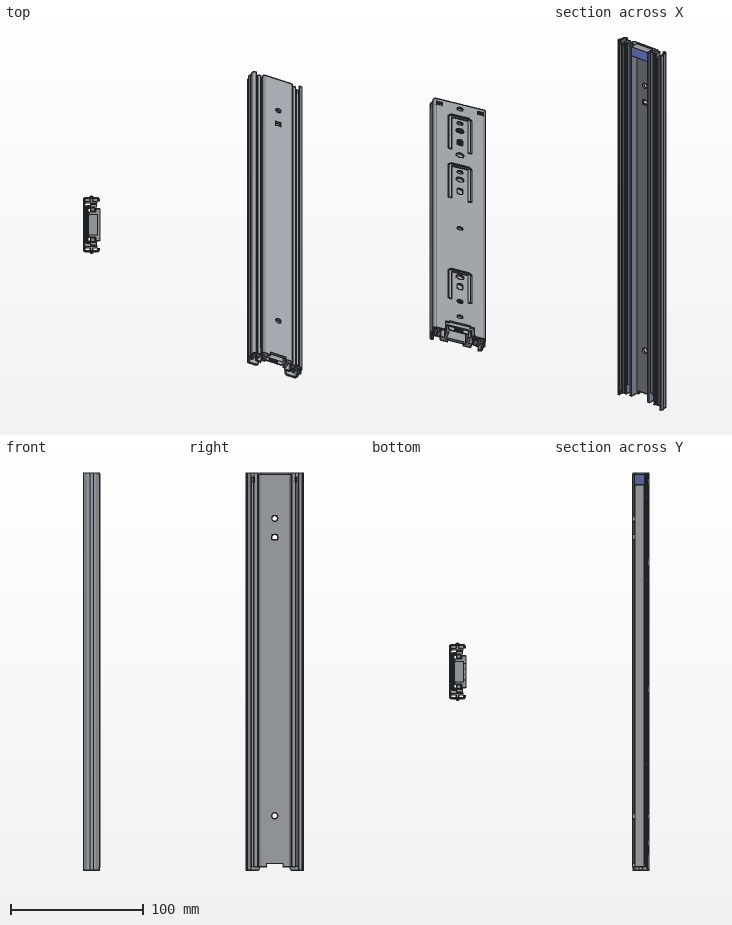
import cadquery as cq

LENGTH = 300.0
DEPTH = 12.7
WIDTH = 43.18
BACK = -DEPTH / 2
FRONT = DEPTH / 2
CUT = 2 * DEPTH

OUTER_SHEET = 1.2
RIDGE_HEIGHT = 0.9
RIDGE_BACK = -1.5
RIDGE_FRONT = 1.2
FLANGE_Y = WIDTH / 2 - RIDGE_HEIGHT
LIP_FRONT = 5.7
LIP_Y = 17.8
OUTER_BEND = 2.0
LIP_BEND = 1.9

PAD_DEPTH = 0.7
PAD_WIDTH = 19.0
PAD_FLOOR_WIDTH = 16.8
PAD_CENTRE_WIDTH = 12.8
PAD_TOP_GROOVE = 3.5
PAD_CORNER = 2.6
PAD_LENGTH = 45.3
HOLE_PITCH = 64.0
TOP_PAD_Z = 284.3
LOW_PAD_Z = 81.8
LOW_PAD_LENGTH = 39.2
PADS = [
    (TOP_PAD_Z, PAD_LENGTH),
    (TOP_PAD_Z - HOLE_PITCH, PAD_LENGTH),
    (LOW_PAD_Z, LOW_PAD_LENGTH),
]

SMALL_HOLE = 4.5
LARGE_HOLE = 6.0
SLOT_LENGTH = 8.0
FIRST_LARGE_Z = 265.0
FIRST_SLOT_Z = 249.6
UPPER_SMALL_Z = 274.7
LOWER_HOLE_Z = 41.3
SMALL_HOLES = [293.5, UPPER_SMALL_Z, UPPER_SMALL_Z - HOLE_PITCH, 137.0, LOWER_HOLE_Z, 21.0]
LARGE_HOLES = [
    FIRST_LARGE_Z,
    FIRST_LARGE_Z - HOLE_PITCH / 2,
    FIRST_LARGE_Z - HOLE_PITCH,
    FIRST_LARGE_Z - 3 * HOLE_PITCH,
]
SLOTS = [FIRST_SLOT_Z, FIRST_SLOT_Z - HOLE_PITCH, 60.6]
WINDOW_Y = 16.3
WINDOW_Z = 294.6
WINDOW_WIDTH = 4.5
WINDOW_HEIGHT = 3.6
END_CUT_WIDTH = 22.8
END_CUT_HEIGHT = 10.9
END_CUT_CHAMFER = 1.2
END_CUT_STEP_WIDTH = 16.4
END_CUT_STEP_TOP = 12.4

ACCESS_HOLE = 4.2
ACCESS_HOLE_Z = FIRST_LARGE_Z + 0.7
PASSAGE_TOP = FIRST_SLOT_Z + SLOT_LENGTH / 2

SLIDE_BOTTOM = 2.7
MIDDLE_SHEET = 1.0
MIDDLE_BACK = -4.4
MIDDLE_Y = 14.6
MIDDLE_BEND = 1.5
RACE_BACK = -0.9
RACE_FRONT = 3.6
RACE_INNER_Y = 13.2
RACE_OUTER_Y = 15.6
MIDDLE_NOTCH_WIDTH = 19.6
MIDDLE_NOTCH_TOP = 9.4

INNER_TOP = LENGTH - 1.0
INNER_SHEET = 1.9
INNER_OPENING = 15.4
INNER_FLANGE_Y = INNER_OPENING / 2 + INNER_SHEET
INNER_FLANGE_BACK = -2.3
SHOULDER_Y = 12.2
SHOULDER_BACK = 2.9
INNER_BEND = 1.2
INNER_NOTCH_WIDTH = 12.4
INNER_NOTCH_TOP = 5.2

RETAINER_BOTTOM = 5.3
INNER_CAGE_SHEET = 0.5
INNER_CAGE_BACK = -3.2
INNER_CAGE_Y = 12.9
INNER_CAGE_LUMP_Y = 10.0
INNER_CAGE_LUMP_BACK = -0.8
INNER_CAGE_FRONT = 2.2
TONGUE_WIDTH = 16.2
TONGUE_CHAMFER = 1.5
TONGUE_WINDOW_WIDTH = 6.6
TONGUE_WINDOW_BOTTOM = 6.6
TONGUE_WINDOW_TOP = 8.6
OUTER_CAGE_BACK = -4.4
OUTER_CAGE_FRONT = 4.0
OUTER_CAGE_Y = 16.2
OUTER_CAGE_SHEET = 1.5
OUTER_CAGE_TOP_Y = 19.8
OUTER_CAGE_LUMP_BACK = -1.2
OUTER_CAGE_LUMP_FRONT = 0.9
OUTER_CAGE_ENDS = 3.0

BLOCK_HEIGHT = 8.0
BLOCK_BACK = -2.6
BLOCK_CHAMFER = 0.6


def extrude_symmetric(half, bottom, top):
    """Extrude the +Y half of an outline, closed across Y = 0 by its mirror image."""
    mirrored = [(x, -y) for x, y in reversed(half)]
    return cq.Workplane("XY", origin=(0, 0, bottom)).polyline(half + mirrored).close().extrude(top - bottom)


def box(x_range, y_range, z_range):
    """Block spanning the given (low, high) ranges."""
    size = [high - low for low, high in (x_range, y_range, z_range)]
    corner = [low for low, high in (x_range, y_range, z_range)]
    return cq.Workplane("XY").box(*size, centered=False).translate(tuple(corner))


def round_edges(body, radius, places):
    """Round the upright edges that pass through the given (x, |y|) places."""
    for x, y in places:
        for side in (-1, 1):
            near = cq.selectors.BoxSelector(
                (x - 0.05, side * y - 0.05, -CUT),
                (x + 0.05, side * y + 0.05, LENGTH + CUT),
            )
            body = body.edges("|Z").edges(near).fillet(radius)
    return body


def cutter_along_x(heights, make_outline):
    """One cutter per height, running through the whole depth in X."""
    points = [(0, z) for z in heights]
    plane = cq.Workplane("YZ", origin=(-CUT / 2, 0, 0)).pushPoints(points)
    return make_outline(plane).extrude(CUT)


def end_notch(width, top):
    return box((-CUT, CUT), (-width / 2, width / 2), (-1, top))


def pad_groove(top, length, back):
    """U-shaped groove with sloping outer walls, around a pad centre left level with the web."""
    bottom = top - length

    def outline(plane, half, corner):
        return (
            plane.moveTo(-half, bottom)
            .lineTo(-half, top - corner)
            .lineTo(-half + corner, top)
            .lineTo(half - corner, top)
            .lineTo(half, top - corner)
            .lineTo(half, bottom)
            .close()
        )

    slope = (PAD_WIDTH - PAD_FLOOR_WIDTH) / 2
    rim = outline(cq.Workplane("YZ", origin=(back, 0, 0)), PAD_WIDTH / 2, PAD_CORNER)
    floor = outline(rim.workplane(offset=PAD_DEPTH), PAD_FLOOR_WIDTH / 2, PAD_CORNER - slope)
    half_centre = PAD_CENTRE_WIDTH / 2
    centre = box(
        (back, back + PAD_DEPTH),
        (-half_centre, half_centre),
        (bottom, top - PAD_TOP_GROOVE),
    )
    return floor.loft(ruled=True).cut(centre)


def ridge(base_y, side):
    """Full-length round ridge standing on a flange face."""
    middle = ((RIDGE_BACK + RIDGE_FRONT) / 2, side * (base_y + RIDGE_HEIGHT))
    return (
        cq.Workplane("XY")
        .moveTo(RIDGE_BACK, side * base_y)
        .threePointArc(middle, (RIDGE_FRONT, side * base_y))
        .close()
        .extrude(LENGTH)
    )


def make_outer_member():
    inner_y = FLANGE_Y - OUTER_SHEET
    half = [
        (BACK, FLANGE_Y),
        (LIP_FRONT, FLANGE_Y),
        (LIP_FRONT, LIP_Y),
        (LIP_FRONT - OUTER_SHEET, LIP_Y),
        (LIP_FRONT - OUTER_SHEET, inner_y),
        (BACK + OUTER_SHEET, inner_y),
    ]
    body = extrude_symmetric(half, 0, LENGTH)
    body = round_edges(body, OUTER_BEND, [(BACK, FLANGE_Y)])
    body = round_edges(body, LIP_BEND, [(LIP_FRONT, FLANGE_Y)])
    body = round_edges(body, OUTER_BEND - OUTER_SHEET, [(BACK + OUTER_SHEET, inner_y)])
    body = round_edges(body, LIP_BEND - OUTER_SHEET, [(LIP_FRONT - OUTER_SHEET, inner_y)])

    for side in (-1, 1):
        body = body.union(ridge(FLANGE_Y, side))
        body = body.cut(ridge(inner_y, side))
    for top, length in PADS:
        body = body.union(pad_groove(top, length, BACK + OUTER_SHEET))
        body = body.cut(pad_groove(top, length, BACK))

    body = body.cut(cutter_along_x(SMALL_HOLES, lambda plane: plane.circle(SMALL_HOLE / 2)))
    body = body.cut(cutter_along_x(LARGE_HOLES, lambda plane: plane.circle(LARGE_HOLE / 2)))
    body = body.cut(cutter_along_x(SLOTS, lambda plane: plane.slot2D(SLOT_LENGTH, SMALL_HOLE, 90)))
    for side in (-1, 1):
        window = cq.Workplane("XY").box(2 * OUTER_SHEET, WINDOW_WIDTH, WINDOW_HEIGHT)
        body = body.cut(window.translate((BACK, side * WINDOW_Y, WINDOW_Z)))

    half_cut = END_CUT_WIDTH / 2
    end_cut = (
        cq.Workplane("YZ", origin=(-CUT / 2, 0, 0))
        .moveTo(-half_cut - END_CUT_CHAMFER, 0)
        .lineTo(-half_cut, END_CUT_CHAMFER)
        .lineTo(-half_cut, END_CUT_HEIGHT)
        .lineTo(half_cut, END_CUT_HEIGHT)
        .lineTo(half_cut, END_CUT_CHAMFER)
        .lineTo(half_cut + END_CUT_CHAMFER, 0)
        .close()
        .extrude(CUT)
    )
    return body.cut(end_cut).cut(end_notch(END_CUT_STEP_WIDTH, END_CUT_STEP_TOP))


def cut_passages(body):
    """Screw access holes and the passage behind the upper half of the first slot."""
    body = body.cut(cutter_along_x([ACCESS_HOLE_Z], lambda plane: plane.circle(ACCESS_HOLE / 2)))
    body = body.cut(cutter_along_x([LOWER_HOLE_Z], lambda plane: plane.circle(SMALL_HOLE / 2)))
    half = SMALL_HOLE / 2
    return body.cut(box((-CUT, CUT), (-half, half), (FIRST_SLOT_Z, PASSAGE_TOP)))


def make_middle_member():
    inner_y = MIDDLE_Y - MIDDLE_SHEET
    half = [
        (MIDDLE_BACK, MIDDLE_Y),
        (RACE_BACK, MIDDLE_Y),
        (RACE_BACK, RACE_OUTER_Y),
        (RACE_FRONT, RACE_OUTER_Y),
        (RACE_FRONT, RACE_INNER_Y),
        (RACE_BACK, RACE_INNER_Y),
        (RACE_BACK, inner_y),
        (MIDDLE_BACK + MIDDLE_SHEET, inner_y),
    ]
    body = extrude_symmetric(half, SLIDE_BOTTOM, LENGTH)
    body = round_edges(body, MIDDLE_BEND, [(MIDDLE_BACK, MIDDLE_Y)])
    body = round_edges(body, MIDDLE_BEND - MIDDLE_SHEET, [(MIDDLE_BACK + MIDDLE_SHEET, inner_y)])
    return cut_passages(body.cut(end_notch(MIDDLE_NOTCH_WIDTH, MIDDLE_NOTCH_TOP)))


def make_inner_member():
    half = [
        (FRONT, SHOULDER_Y),
        (SHOULDER_BACK, SHOULDER_Y),
        (SHOULDER_BACK, INNER_FLANGE_Y),
        (INNER_FLANGE_BACK, INNER_FLANGE_Y),
        (INNER_FLANGE_BACK, INNER_OPENING / 2),
        (FRONT - INNER_SHEET, INNER_OPENING / 2),
    ]
    body = extrude_symmetric(half, SLIDE_BOTTOM, INNER_TOP)
    body = round_edges(body, INNER_BEND, [(FRONT, SHOULDER_Y)])
    return cut_passages(body.cut(end_notch(INNER_NOTCH_WIDTH, INNER_NOTCH_TOP)))


def make_inner_retainer():
    """U-shaped cage: a thin web with a leg on each side that carries the inner ball row."""
    half = [
        (INNER_CAGE_BACK, INNER_CAGE_Y),
        (INNER_CAGE_FRONT, INNER_CAGE_Y),
        (INNER_CAGE_FRONT, INNER_CAGE_LUMP_Y),
        (INNER_CAGE_LUMP_BACK, INNER_CAGE_LUMP_Y),
        (INNER_CAGE_LUMP_BACK, INNER_CAGE_Y - INNER_CAGE_SHEET),
        (INNER_CAGE_BACK + INNER_CAGE_SHEET, INNER_CAGE_Y - INNER_CAGE_SHEET),
    ]
    body = extrude_symmetric(half, END_CUT_HEIGHT, LENGTH)
    half_tongue = TONGUE_WIDTH / 2
    tongue = box(
        (INNER_CAGE_BACK, INNER_CAGE_BACK + INNER_CAGE_SHEET),
        (-half_tongue, half_tongue),
        (RETAINER_BOTTOM, END_CUT_HEIGHT + 1),
    )
    tongue = tongue.edges("|X and <Z").chamfer(TONGUE_CHAMFER)
    half_window = TONGUE_WINDOW_WIDTH / 2
    window_heights = (TONGUE_WINDOW_BOTTOM, TONGUE_WINDOW_TOP)
    tongue = tongue.cut(box((-CUT, CUT), (-half_window, half_window), window_heights))
    return cut_passages(body.union(tongue))


def make_outer_retainer(side):
    """Strip between the outer flange and the middle member, with a rib towards the outer groove."""
    outline = [
        (OUTER_CAGE_BACK, OUTER_CAGE_Y),
        (OUTER_CAGE_FRONT, OUTER_CAGE_Y),
        (OUTER_CAGE_FRONT, OUTER_CAGE_Y + OUTER_CAGE_SHEET),
        (OUTER_CAGE_LUMP_FRONT, OUTER_CAGE_Y + OUTER_CAGE_SHEET),
        (OUTER_CAGE_LUMP_FRONT, OUTER_CAGE_TOP_Y),
        (OUTER_CAGE_LUMP_BACK, OUTER_CAGE_TOP_Y),
        (OUTER_CAGE_LUMP_BACK, OUTER_CAGE_Y + OUTER_CAGE_SHEET),
        (OUTER_CAGE_BACK, OUTER_CAGE_Y + OUTER_CAGE_SHEET),
    ]
    points = [(x, side * y) for x, y in outline]
    plane = cq.Workplane("XY", origin=(0, 0, OUTER_CAGE_ENDS))
    return plane.polyline(points).close().extrude(LENGTH - 2 * OUTER_CAGE_ENDS)


def make_stop_block():
    half = INNER_OPENING / 2
    block = box((BLOCK_BACK, FRONT - INNER_SHEET), (-half, half), (INNER_TOP - BLOCK_HEIGHT, INNER_TOP))
    return block.edges("|Z and <X").chamfer(BLOCK_CHAMFER)


outer_member = make_outer_member()
middle_member = make_middle_member()
inner_member = make_inner_member()
inner_retainer = make_inner_retainer()
outer_retainers = [make_outer_retainer(side) for side in (-1, 1)]
stop_block = make_stop_block()

result = cq.Compound.makeCompound(
    [
        outer_member.val(),
        middle_member.val(),
        inner_member.val(),
        inner_retainer.val(),
        *[retainer.val() for retainer in outer_retainers],
        stop_block.val(),
    ]
)